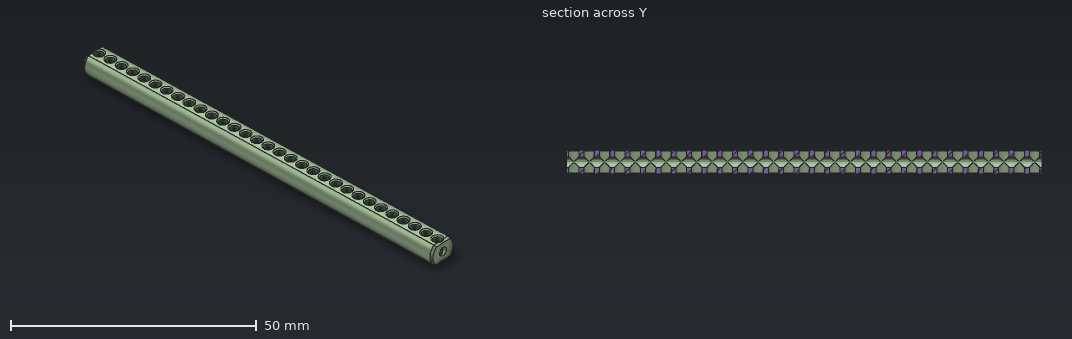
import cadquery as cq
import math

length = 96.9
rod_diameter = 6.6
flat_height = 5.0

end_chamfer_length = 0.6
end_chamfer_depth = 0.3
end_chamfer_angle = math.degrees(math.atan2(end_chamfer_depth, end_chamfer_length))

hole_count = 31
hole_diameter = 2.0
hole_pitch = length / hole_count
countersink_diameter = 2.6
countersink_angle = 90.0


def bar_section():
    """Cross-section of the bar: a circle cut off by the two flats."""
    return cq.Sketch().circle(rod_diameter / 2).rect(rod_diameter, flat_height, mode="i")


def make_bar():
    """Flatted bar centred on the origin, tapering at both ends."""
    section = bar_section()
    straight_half = length / 2 - end_chamfer_length
    right_half = cq.Workplane("YZ").placeSketch(section).extrude(straight_half)
    tip = (
        cq.Workplane("YZ", origin=(straight_half, 0, 0))
        .placeSketch(section)
        .extrude(end_chamfer_length, taper=end_chamfer_angle)
    )
    return right_half.union(tip).mirror("YZ", union=True).clean()


def drill_axial_bore(bar):
    """Drill along the bar axis from end to end."""
    bore = cq.Workplane("YZ").circle(hole_diameter / 2).extrude(length / 2, both=True)
    return bar.cut(bore)


def drill_hole_row(bar):
    """Drill the evenly spaced through holes, countersunk on both flats."""
    for flat in (">Z", "<Z"):
        bar = (
            bar.faces(flat)
            .workplane(origin=(0, 0, 0))
            .rarray(hole_pitch, 1, hole_count, 1)
            .cskHole(hole_diameter, countersink_diameter, countersink_angle)
        )
    return bar


result = drill_hole_row(drill_axial_bore(make_bar()))